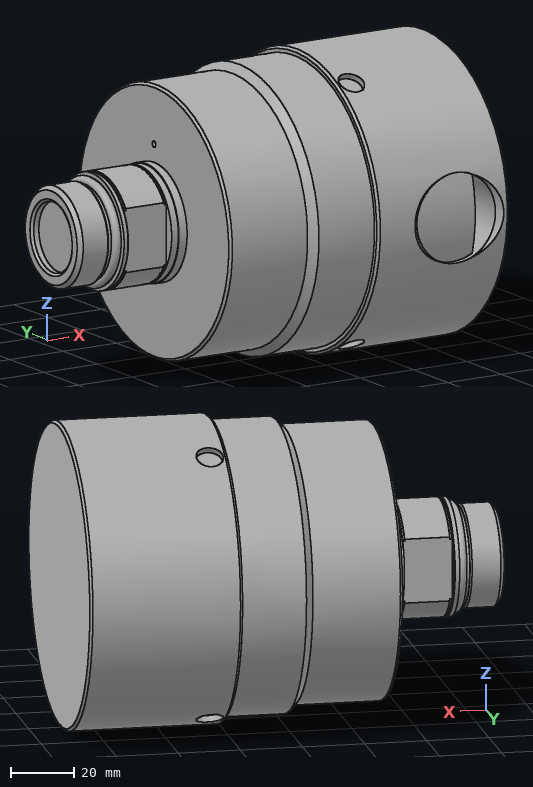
import cadquery as cq

housing_start = 38.5
housing_end = 140.2
front_radius = 89.0 / 2
middle_radius = 94.2 / 2
collar_radius = 98.4 / 2
cone_start = 67.6
cone_length = middle_radius - front_radius
collar_start = 91.0
edge_chamfer = 0.8

drain_diameter = 8.5
drain_x = 96.7
drain_angles = (30, 150, 210, 330)

port_x = 121.4
port_radius = 14.7
port_mouth_radius = 33.2 / 2
port_mouth_depth = port_mouth_radius - port_radius
port_ledge_end = 128.7

vent_diameter = 2.0
vent_height = 25.2
vent_depth = 2.1

tube_radius = 33.2 / 2
tube_chamfer = 1.4
tube_end = 11.2
tube_end_chamfer = 0.5
groove_radius = 15.7
ring_x = 13.9
ring_section_radius = 1.5
ring_radius = 16.47
stop_start = 15.1
stop_end = 17.0
wrench_end = 33.0
wrench_radius = 38.1 / 2
relief_radius = 37.5 / 2
relief_length = 0.7
flat_distance = 16.0
shoulder_start = 35.5
shoulder_radius = 38.7 / 2
shaft_end = 136.0
socket_radius = 23.0 / 2
socket_chamfer = 0.8
socket_depth = 2.8


def revolve_about_x(outline):
    return outline.close().revolve(360, (0, 0, 0), (1, 0, 0))


def x_cylinder(start, end, radius):
    return cq.Workplane("YZ").workplane(offset=start).circle(radius).extrude(end - start)


def spindle_blank():
    return revolve_about_x(
        cq.Workplane("XY")
        .moveTo(0, 0)
        .lineTo(0, tube_radius - tube_chamfer)
        .lineTo(tube_chamfer, tube_radius)
        .lineTo(tube_end - tube_end_chamfer, tube_radius)
        .lineTo(tube_end, tube_radius - tube_end_chamfer)
        .lineTo(tube_end, groove_radius)
        .lineTo(stop_start, groove_radius)
        .lineTo(stop_start, wrench_radius)
        .lineTo(stop_end - relief_length / 2, wrench_radius)
        .lineTo(stop_end, relief_radius)
        .lineTo(stop_end + relief_length, relief_radius)
        .lineTo(stop_end + relief_length, wrench_radius)
        .lineTo(wrench_end - relief_length, wrench_radius)
        .lineTo(wrench_end - relief_length, relief_radius)
        .lineTo(wrench_end, relief_radius)
        .lineTo(wrench_end, wrench_radius)
        .lineTo(shoulder_start, wrench_radius)
        .lineTo(shoulder_start, shoulder_radius)
        .lineTo(housing_start, shoulder_radius)
        .lineTo(housing_start, tube_radius)
        .lineTo(shaft_end, tube_radius)
        .lineTo(shaft_end, 0)
    )


def seal_ring():
    return (
        cq.Workplane("XY")
        .center(ring_x, ring_radius)
        .circle(ring_section_radius)
        .revolve(360, (0, -ring_radius, 0), (1, -ring_radius, 0))
    )


def wrench_flat_cutter(side):
    cutter_depth = wrench_radius
    middle_x = (stop_end + wrench_end) / 2
    middle_y = side * (flat_distance + cutter_depth / 2)
    cutter = cq.Workplane("XY").box(wrench_end - stop_end, cutter_depth, 2 * wrench_radius)
    return cutter.translate((middle_x, middle_y, 0))


def socket_cutter():
    return revolve_about_x(
        cq.Workplane("XY")
        .moveTo(0, 0)
        .lineTo(0, socket_radius + socket_chamfer)
        .lineTo(socket_chamfer, socket_radius)
        .lineTo(socket_depth, socket_radius)
        .lineTo(socket_depth, 0)
    )


def make_spindle():
    body = spindle_blank().union(seal_ring())
    for side in (-1, 1):
        body = body.cut(wrench_flat_cutter(side))
    return body.cut(socket_cutter())


def housing_blank():
    return revolve_about_x(
        cq.Workplane("XY")
        .moveTo(housing_start, 0)
        .lineTo(housing_start, front_radius - edge_chamfer)
        .lineTo(housing_start + edge_chamfer, front_radius)
        .lineTo(cone_start, front_radius)
        .lineTo(cone_start + cone_length, middle_radius)
        .lineTo(collar_start, middle_radius)
        .lineTo(collar_start, collar_radius - edge_chamfer)
        .lineTo(collar_start + edge_chamfer, collar_radius)
        .lineTo(housing_end - edge_chamfer, collar_radius)
        .lineTo(housing_end, collar_radius - edge_chamfer)
        .lineTo(housing_end, 0)
    )


def drain_cutter(angle):
    drill = (
        cq.Workplane("XY")
        .center(drain_x, 0)
        .circle(drain_diameter / 2)
        .extrude(collar_radius)
        .rotate((0, 0, 0), (1, 0, 0), angle)
    )
    return drill.cut(x_cylinder(collar_start, housing_end, middle_radius))


def port_cutter():
    drill = (
        cq.Workplane("XY")
        .moveTo(port_x, 0)
        .lineTo(port_x + port_radius, 0)
        .lineTo(port_x + port_radius, port_mouth_depth - collar_radius)
        .lineTo(port_x + port_mouth_radius, -collar_radius)
        .lineTo(port_x, -collar_radius)
        .close()
        .revolve(360, (port_x, 0, 0), (port_x, 1, 0))
    )
    return drill.cut(x_cylinder(collar_start, port_ledge_end, middle_radius))


def vent_cutter():
    vent = x_cylinder(housing_start, housing_start + vent_depth, vent_diameter / 2)
    return vent.translate((0, 0, vent_height))


def make_housing():
    body = housing_blank()
    for angle in drain_angles:
        body = body.cut(drain_cutter(angle))
    body = body.cut(port_cutter())
    body = body.cut(vent_cutter())
    shaft_bore = x_cylinder(housing_start, shaft_end, tube_radius)
    return body.cut(shaft_bore)


housing = make_housing()
spindle = make_spindle()
result = cq.Compound.makeCompound([housing.val(), spindle.val()])